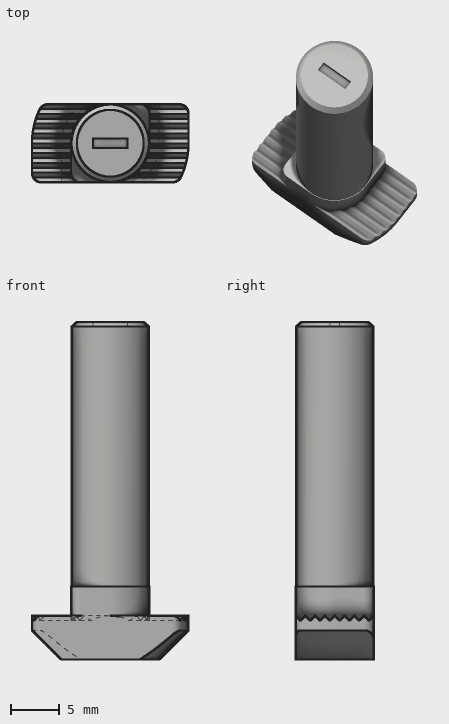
import cadquery as cq
import math

total_height = 34.5
head_length = 16.0
head_width = 8.0

head_height = 4.5
underside_chamfer = 3.0
corner_radius = 1.0
neck_top = 7.5

tooth_count = 8
tooth_pitch = head_width / tooth_count
tooth_depth = tooth_pitch / 2

shank_diameter = 7.9
tip_diameter = 6.83
tip_chamfer_height = 0.5
slot_length = 3.5
slot_width = 1.0
slot_depth = 0.52

half_length = head_length / 2
half_width = head_width / 2


def box_from(x, y, z, length, width, height):
    """Box whose lowest corner is at (x, y, z)."""
    return cq.Workplane("XY").box(length, width, height, centered=False).translate((x, y, z))


def turning_quadrants(height):
    """Two opposite quadrants, (+X, -Y) and (-X, +Y), each covering half the head."""
    front = box_from(0, -half_width, 0, half_length, half_width, height)
    back = box_from(-half_length, 0, 0, half_length, half_width, height)
    return front, back


def square_quadrants(height, length):
    """The other two quadrants, (+X, +Y) and (-X, -Y), with a rounded outer corner."""
    back = box_from(0, 0, 0, length, half_width, height).edges("|Z and >X and >Y").fillet(corner_radius)
    front = box_from(-length, -half_width, 0, length, half_width, height)
    front = front.edges("|Z and <X and <Y").fillet(corner_radius)
    return back, front


def make_head():
    bottom_half_length = half_length - underside_chamfer
    wedge_profile = (
        cq.Workplane("XZ")
        .moveTo(-bottom_half_length, 0)
        .lineTo(bottom_half_length, 0)
        .lineTo(half_length, underside_chamfer)
        .lineTo(half_length, head_height)
        .lineTo(-half_length, head_height)
        .lineTo(-half_length, underside_chamfer)
        .close()
    )
    wedge = wedge_profile.extrude(half_width, both=True)

    cone = (
        cq.Workplane("XY")
        .circle(half_length)
        .extrude(head_height)
        .faces("<Z")
        .chamfer(underside_chamfer)
    )
    back, front = square_quadrants(head_height, half_length)
    head = back.union(front).intersect(wedge)
    corner_x = math.sqrt(half_length**2 - half_width**2)
    for quadrant, direction in zip(turning_quadrants(head_height), (1, -1)):
        outline = quadrant.intersect(cq.Workplane("XY").circle(half_length).extrude(head_height))
        corner = (direction * corner_x, -direction * half_width, head_height / 2)
        outline = outline.edges("|Z").edges(cq.NearestToPointSelector(corner)).fillet(corner_radius)
        head = head.union(outline.intersect(cone))
    return head


def make_teeth_grooves():
    """V grooves along X; the crests between them lie at whole pitches from the centre."""
    grooves = cq.Workplane("YZ")
    for index in range(tooth_count):
        left = -half_width + index * tooth_pitch
        grooves = (
            grooves.moveTo(left, head_height)
            .lineTo(left + tooth_pitch / 2, head_height - tooth_depth)
            .lineTo(left + tooth_pitch, head_height)
            .close()
        )
    return grooves.extrude(half_length, both=True)


def make_neck():
    neck = cq.Workplane("XY").circle(half_width).extrude(neck_top)
    for quadrant in square_quadrants(neck_top, half_width):
        neck = neck.union(quadrant)
    root_height = head_height - tooth_depth
    cover = box_from(-half_width, -half_width, root_height, head_width, head_width, neck_top - root_height)
    return neck.intersect(cover)


def make_shank():
    shank = (
        cq.Workplane("XY", origin=(0, 0, neck_top))
        .circle(shank_diameter / 2)
        .extrude(total_height - neck_top)
        .faces(">Z")
        .chamfer(tip_chamfer_height, (shank_diameter - tip_diameter) / 2)
    )
    slot = box_from(
        -slot_length / 2, -slot_width / 2, total_height - slot_depth, slot_length, slot_width, slot_depth
    )
    return shank.cut(slot)


result = make_head().cut(make_teeth_grooves()).union(make_neck()).union(make_shank())